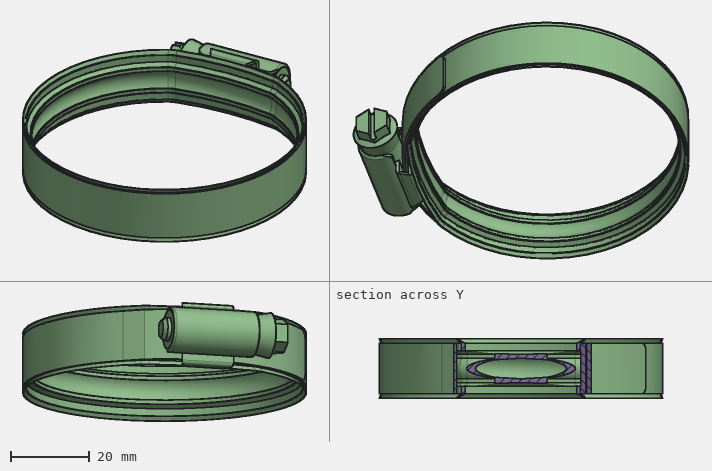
import cadquery as cq
import math


overall_length = 82.7
ring_diameter = 72.05
ring_radius = ring_diameter / 2
strap_thickness = 0.6
strap_width = 12.9
wall_radius = ring_radius - strap_thickness

liner_width = 15.2
liner_thickness = 0.3
flare_edge_width = 0.2
crest_radius = 33.75
groove_depth = 1.0
groove_half_width = 2.6
bead_top = 3.6
bead_foot = 4.55

flat_height = 34.25
blend_radius = 8.3
blend_bearing = 26.7

lap_gap = 0.04
tail_bearing = -60.0
tail_corner_radius = 2.1
joggle_start = 25.0
joggle_end = 34.0

screw_radius = 5.0
flange_radius = 5.8
screw_y = overall_length - ring_radius - flange_radius
hex_flats = 8.0
slot_width = 1.4
slot_depth = 2.1
head_front_x = -19.1
face_x = -16.05
face_radius = 4.0
flange_x = -15.4
tip_radius = 3.0
tip_end_radius = 2.1
tip_chamfer_x = 12.4
tip_end_x = 13.4

shell_start_x = -11.25
shell_end_x = 11.4
shell_edge_radius = 0.5
skirt_y = 38.05
skirt_corner_radius = 2.15
sheet_thickness = 0.75
bridge_top_y = 37.9
bridge_width = 16.0
bridge_top_radius = 1.0
bridge_bottom_radius = 0.5
bridge_top_half_length = 6.95
bridge_bottom_half_length = 5.1


def at_bearing(radius, bearing):
    """Point on a ring circle; bearing in degrees from +Y, positive towards +X."""
    angle = math.radians(bearing)
    return (radius * math.sin(angle), radius * math.cos(angle))



def liner_profile(axis_x):
    """Liner section in the XZ plane, drawn for a ring axis at X = axis_x."""
    half_width = liner_width / 2
    strap_edge = strap_width / 2
    inner_wall = wall_radius - liner_thickness
    crest_outer = crest_radius + liner_thickness
    groove_bottom = crest_radius + groove_depth
    flare_inner = ring_radius - flare_edge_width

    def point(radius, height):
        return (axis_x + radius, height)

    return (
        cq.Workplane("XZ")
        .moveTo(*point(ring_radius, half_width))
        .lineTo(*point(flare_inner, half_width))
        .lineTo(*point(inner_wall, strap_edge))
        .lineTo(*point(inner_wall, bead_foot))
        .lineTo(*point(crest_radius, bead_top))
        .lineTo(*point(crest_radius, groove_half_width))
        .threePointArc(point(groove_bottom, 0), point(crest_radius, -groove_half_width))
        .lineTo(*point(crest_radius, -bead_top))
        .lineTo(*point(inner_wall, -bead_foot))
        .lineTo(*point(inner_wall, -strap_edge))
        .lineTo(*point(flare_inner, -half_width))
        .lineTo(*point(ring_radius, -half_width))
        .lineTo(*point(wall_radius, -strap_edge))
        .lineTo(*point(wall_radius, -bead_foot))
        .lineTo(*point(crest_outer, -bead_top))
        .lineTo(*point(crest_outer, -groove_half_width))
        .threePointArc(
            point(groove_bottom + liner_thickness, 0), point(crest_outer, groove_half_width)
        )
        .lineTo(*point(crest_outer, bead_top))
        .lineTo(*point(wall_radius, bead_foot))
        .lineTo(*point(wall_radius, strap_edge))
        .close()
    )


def liner_stretch(center, outer_radius, start_bearing, end_bearing):
    """Liner section swept round a vertical axis at center, between two bearings of that axis."""
    section = liner_profile(outer_radius - ring_radius)
    swept = section.revolve(end_bearing - start_bearing, (0, 0, 0), (0, -1, 0))
    return swept.rotate((0, 0, 0), (0, 0, 1), 90 - start_bearing).translate((*center, 0))


def make_liner():
    """Three tangent radii: main ring, a blend at each side and the flatter top."""
    blend_x, blend_y = at_bearing(ring_radius - blend_radius, blend_bearing)
    drop = blend_y - flat_height
    flat_radius = (blend_radius**2 - blend_x**2 - drop**2) / (2 * (drop + blend_radius))
    flat_bearing = math.degrees(math.asin(blend_x / (flat_radius - blend_radius)))
    flat_center = (0, flat_height - flat_radius)

    main = liner_stretch((0, 0), ring_radius, blend_bearing, 360 - blend_bearing)
    flat = liner_stretch(flat_center, flat_radius, -flat_bearing, flat_bearing)
    right_blend = liner_stretch((blend_x, blend_y), blend_radius, flat_bearing, blend_bearing)
    left_blend = liner_stretch((-blend_x, blend_y), blend_radius, -blend_bearing, -flat_bearing)
    return main.union(right_blend).union(flat).union(left_blend)



def make_screw():
    """Turned body along X with a slotted hexagon head."""
    body = (
        cq.Workplane("XY")
        .moveTo(face_x, screw_y)
        .lineTo(face_x, screw_y + face_radius)
        .lineTo(flange_x, screw_y + flange_radius)
        .lineTo(shell_start_x, screw_y + screw_radius)
        .lineTo(shell_end_x, screw_y + screw_radius)
        .lineTo(shell_end_x, screw_y + tip_radius)
        .lineTo(tip_chamfer_x, screw_y + tip_radius)
        .lineTo(tip_end_x, screw_y + tip_end_radius)
        .lineTo(tip_end_x, screw_y)
        .close()
        .revolve(360, (0, screw_y, 0), (1, screw_y, 0))
    )
    hex_corners = hex_flats / math.cos(math.pi / 6)
    head = (
        cq.Workplane("YZ", origin=(head_front_x, screw_y, 0))
        .transformed(rotate=(0, 0, 90))
        .polygon(6, hex_corners)
        .extrude(flange_x - head_front_x)
    )
    slot = cq.Workplane("XY").box(slot_depth, slot_width, hex_corners, centered=(False, True, True))
    return body.union(head).cut(slot.translate((head_front_x, screw_y, 0)))



def make_strap(screw):
    """One turn on the liner, a joggle outwards, then the tail lapped over the first turn."""
    tail_inner = ring_radius + lap_gap
    tail_outer = tail_inner + strap_thickness
    tail_middle = (tail_bearing + joggle_start) / 2
    turn_end = 360.0
    turn_middle = (joggle_end + turn_end) / 2

    strip = (
        cq.Workplane("XY", origin=(0, 0, -strap_width / 2))
        .moveTo(*at_bearing(tail_outer, tail_bearing))
        .threePointArc(at_bearing(tail_outer, tail_middle), at_bearing(tail_outer, joggle_start))
        .lineTo(*at_bearing(ring_radius, joggle_end))
        .threePointArc(at_bearing(ring_radius, turn_middle), at_bearing(ring_radius, turn_end))
        .lineTo(*at_bearing(wall_radius, turn_end))
        .threePointArc(at_bearing(wall_radius, turn_middle), at_bearing(wall_radius, joggle_end))
        .lineTo(*at_bearing(tail_inner, joggle_start))
        .threePointArc(at_bearing(tail_inner, tail_middle), at_bearing(tail_inner, tail_bearing))
        .close()
        .extrude(strap_width)
    )
    tail_direction = cq.Vector(*at_bearing(1, tail_bearing))
    tail_end_point = (*at_bearing(tail_outer, tail_bearing), 0)
    tail_end = strip.faces(cq.selectors.NearestToPointSelector(tail_end_point))
    corners = tail_end.edges(cq.selectors.ParallelDirSelector(tail_direction))
    return corners.fillet(tail_corner_radius).cut(screw)



def make_cover():
    """Bar the size of the screw cover, down to the underside of the bridge's upper plate."""
    length = shell_end_x - shell_start_x
    bottom_y = bridge_top_y - sheet_thickness
    bar = (
        cq.Workplane("YZ", origin=(shell_start_x, screw_y, 0))
        .circle(flange_radius)
        .extrude(length)
        .edges()
        .fillet(shell_edge_radius)
    )
    upper_space = cq.Workplane("XY").box(
        length, 2 * flange_radius, 2 * flange_radius, centered=(False, False, True)
    )
    return bar.intersect(upper_space.translate((shell_start_x, bottom_y, 0)))


def make_bridge():
    """Closed rectangular loop round the strap, standing on the liner."""
    height = bridge_top_y - flat_height
    length = 2 * bridge_top_half_length
    middle = (0, flat_height + height / 2, 0)

    outside = cq.Workplane("XY").box(length, height, bridge_width)
    outside = outside.edges("|X and >Y").fillet(bridge_top_radius)
    outside = outside.edges("|X and <Y").fillet(bridge_bottom_radius)
    opening = cq.Workplane("XY").box(
        length, height - 2 * sheet_thickness, bridge_width - 2 * sheet_thickness
    )
    return outside.cut(opening).translate(middle)


def make_housing_outline():
    """Plan shape of the housing: a round-cornered skirt above, tapering to the bridge's foot."""
    skirt = (
        cq.Workplane("XY")
        .box(shell_end_x - shell_start_x, 2 * flange_radius, bridge_width, centered=(False, False, True))
        .edges("|Z and <Y")
        .fillet(skirt_corner_radius)
        .translate((shell_start_x, skirt_y, 0))
    )
    taper = (
        cq.Workplane("XY")
        .moveTo(-bridge_bottom_half_length, flat_height)
        .lineTo(bridge_bottom_half_length, flat_height)
        .lineTo(bridge_top_half_length, skirt_y)
        .lineTo(-bridge_top_half_length, skirt_y)
        .close()
        .extrude(bridge_width / 2, both=True)
    )
    return skirt.union(taper)


def make_housing():
    """Cover and bridge in one piece, trimmed to the outline and bored for the screw."""
    bore = (
        cq.Workplane("YZ", origin=(shell_start_x, screw_y, 0))
        .circle(screw_radius)
        .extrude(shell_end_x - shell_start_x)
    )
    return make_cover().union(make_bridge()).intersect(make_housing_outline()).cut(bore)


liner = make_liner()
screw = make_screw()
strap = make_strap(screw)
housing = make_housing()

bodies = [liner, strap, housing, screw]
result = cq.Compound.makeCompound([body.solids().val() for body in bodies])